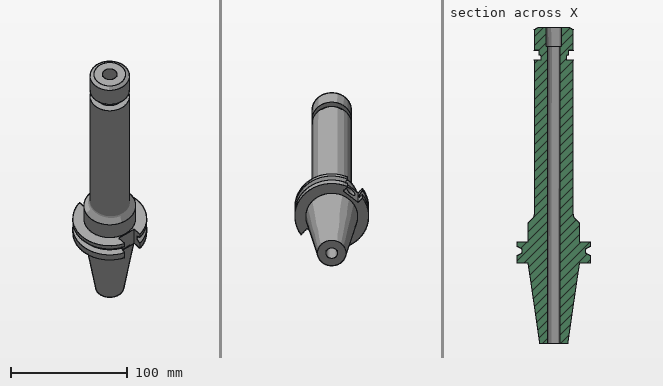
import cadquery as cq
import math

TOTAL_HEIGHT = 271.5
GAUGE_Z = 68.5
GAUGE_RADIUS = 22.3
TAPER_RATIO = 7 / 24
SHANK_END_RADIUS = GAUGE_RADIUS - GAUGE_Z * TAPER_RATIO / 2

FLANGE_RADIUS = 31.8
FLANGE_BOTTOM_Z = 69.2
FLANGE_TOP_Z = 87.5
GROOVE_CENTRE_Z = 79.5
GROOVE_MOUTH = 7.5
GROOVE_FLOOR_RADIUS = 27.7
GROOVE_WALL_ANGLE = 26.0

SLOT_WIDTH = 16.8
LEFT_SLOT_FLOOR_X = -25.0
RIGHT_SLOT_FLOOR_X = 22.8
SLOT_HOLE_DIAMETER = 9.2
SLOT_HOLE_DEPTH = 5.5

SHOULDER_RADIUS = GAUGE_RADIUS
SHOULDER_TOP_Z = 103.7
SHAFT_RADIUS = 16.97
SHAFT_TOP_Z = 243.5
BLEND_RADIUS = 5.0
BLEND_ANGLE = math.radians(45)

NECK_RADIUS = 11.0
NECK_TOP_Z = 247.0
COLLAR_RADIUS = 12.8
COLLAR_BOTTOM_Z = 247.8
NUT_RADIUS = SHAFT_RADIUS
NUT_BOTTOM_Z = 251.5
NUT_FACE_RADIUS = 13.5
NUT_CHAMFER_HEIGHT = 2.0

BORE_DIAMETER = 10.0
MOUTH_DIAMETER = 12.5
MOUTH_DEPTH = 16.3


def revolved_body():
    """Revolve the outer half profile, given as (radius, z), about Z."""
    groove_run = (FLANGE_RADIUS - GROOVE_FLOOR_RADIUS) * math.tan(math.radians(GROOVE_WALL_ANGLE))
    mouth_low = GROOVE_CENTRE_Z - GROOVE_MOUTH / 2
    mouth_high = GROOVE_CENTRE_Z + GROOVE_MOUTH / 2

    corner_z = SHOULDER_TOP_Z + SHOULDER_RADIUS - SHAFT_RADIUS
    blend_top_z = corner_z + BLEND_RADIUS * math.tan(BLEND_ANGLE / 2)

    def blend_point(angle):
        radius = SHAFT_RADIUS + BLEND_RADIUS * (1 - math.cos(angle))
        return radius, blend_top_z - BLEND_RADIUS * math.sin(angle)

    profile = (
        cq.Workplane("XZ")
        .moveTo(0, 0)
        .lineTo(SHANK_END_RADIUS, 0)
        .lineTo(GAUGE_RADIUS, GAUGE_Z)
        .lineTo(GAUGE_RADIUS, FLANGE_BOTTOM_Z)
        .lineTo(FLANGE_RADIUS, FLANGE_BOTTOM_Z)
        .lineTo(FLANGE_RADIUS, mouth_low)
        .lineTo(GROOVE_FLOOR_RADIUS, mouth_low + groove_run)
        .lineTo(GROOVE_FLOOR_RADIUS, mouth_high - groove_run)
        .lineTo(FLANGE_RADIUS, mouth_high)
        .lineTo(FLANGE_RADIUS, FLANGE_TOP_Z)
        .lineTo(SHOULDER_RADIUS, FLANGE_TOP_Z)
        .lineTo(SHOULDER_RADIUS, SHOULDER_TOP_Z)
        .lineTo(*blend_point(BLEND_ANGLE))
        .threePointArc(blend_point(BLEND_ANGLE / 2), blend_point(0))
        .lineTo(SHAFT_RADIUS, SHAFT_TOP_Z)
        .lineTo(NECK_RADIUS, SHAFT_TOP_Z)
        .lineTo(NECK_RADIUS, NECK_TOP_Z)
        .lineTo(COLLAR_RADIUS, COLLAR_BOTTOM_Z)
        .lineTo(COLLAR_RADIUS, NUT_BOTTOM_Z)
        .lineTo(NUT_RADIUS, NUT_BOTTOM_Z)
        .lineTo(NUT_RADIUS, TOTAL_HEIGHT - NUT_CHAMFER_HEIGHT)
        .lineTo(NUT_FACE_RADIUS, TOTAL_HEIGHT)
        .lineTo(0, TOTAL_HEIGHT)
        .close()
    )
    return profile.revolve(360, (0, 0, 0), (0, 1, 0))


def drive_slot(floor_x):
    """Block that cuts a slot outward from floor_x across the flange height."""
    length = math.copysign(FLANGE_RADIUS, floor_x)
    return (
        cq.Workplane("YZ", origin=(floor_x, 0, (FLANGE_BOTTOM_Z + FLANGE_TOP_Z) / 2))
        .rect(SLOT_WIDTH, FLANGE_TOP_Z - FLANGE_BOTTOM_Z)
        .extrude(length)
    )


def slot_hole():
    """Blind round hole in the floor of the -X slot."""
    return (
        cq.Workplane("YZ", origin=(LEFT_SLOT_FLOOR_X, 0, GROOVE_CENTRE_Z))
        .circle(SLOT_HOLE_DIAMETER / 2)
        .extrude(SLOT_HOLE_DEPTH)
    )


def bore():
    """Through bore with a wider mouth at the nut face."""
    through = cq.Workplane("XY").circle(BORE_DIAMETER / 2).extrude(TOTAL_HEIGHT)
    mouth = (
        cq.Workplane("XY", origin=(0, 0, TOTAL_HEIGHT - MOUTH_DEPTH))
        .circle(MOUTH_DIAMETER / 2)
        .extrude(MOUTH_DEPTH)
    )
    return through.union(mouth)


result = revolved_body().cut(bore()).cut(slot_hole())
for slot_floor_x in (LEFT_SLOT_FLOOR_X, RIGHT_SLOT_FLOOR_X):
    result = result.cut(drive_slot(slot_floor_x))